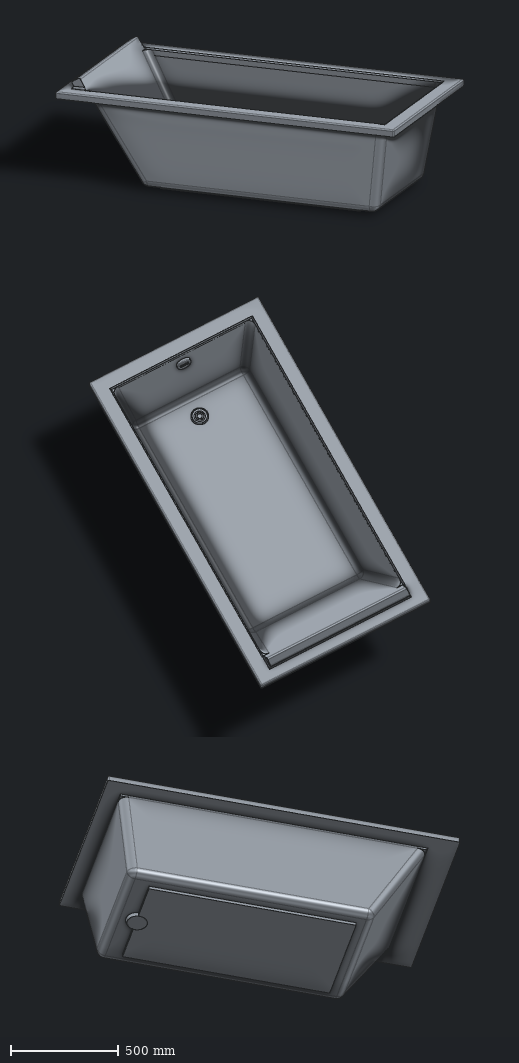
import cadquery as cq
import math


rim_length = 1700.0
rim_width = 900.0
rim_top = 480.0
rim_bottom = 445.0
rim_edge_radius = 7.0

wall = 7.0
floor_bottom = 17.0
floor_top = floor_bottom + wall
hull_top = 434.0
hull_half_width = 372.0
hull_back_x = -707.0
hull_front_x = 770.0
side_slope = math.tan(math.radians(8.4))
back_angle = math.radians(30)
back_slope = math.tan(back_angle)
hull_edge_radius = 40.0
opening_chamfer = 7.0

headrest_depth = 48.0
headrest_top = 535.0
headrest_edge_radius = 8.0
headrest_length = 738.0
foot_height = 12.0
foot_back_x = -795.0
foot_taper = 7.0

board_back_x = -401.0
board_front_x = 598.0
board_width = 486.0

drain_x = 592.0
flange_diameter = 83.0
flange_face_diameter = 71.0
flange_height = 5.0
flange_recess_diameter = 39.0
flange_recess_depth = 3.0
plug_diameter = 24.0
drain_neck_diameter = 53.0
drain_cup_diameter = 109.0
drain_cup_base_diameter = 95.0

overflow_z = 385.0
overflow_diameter = 71.0
overflow_thickness = 17.0
overflow_edge_radius = 5.0
overflow_slot_length = 45.0
overflow_slot_width = 12.0
overflow_slot_depth = 3.0


def back_x(level, inset):
    """X of the backrest plane at a level, shifted into the basin by the inset."""
    return hull_back_x + back_slope * (hull_top - level) + inset / math.cos(back_angle)


def front_x(level, inset):
    """X of the front wall plane at a level, shifted into the basin by the inset."""
    return hull_front_x - side_slope * (hull_top - level) - inset * math.hypot(1, side_slope)


def half_width(level, inset):
    """Half width between the side wall planes at a level, shifted inwards by the inset."""
    return hull_half_width - side_slope * (hull_top - level) - inset * math.hypot(1, side_slope)


def tapered_block(lower, upper):
    """Flat-sided block between two levels, each given as (z, back x, front x, half width)."""
    z_low, back_low, front_low, half_low = lower
    z_high, back_high, front_high, half_high = upper
    reach = max(half_low, half_high)
    side_profile = [(back_low, z_low), (front_low, z_low), (front_high, z_high), (back_high, z_high)]
    end_profile = [(-half_low, z_low), (half_low, z_low), (half_high, z_high), (-half_high, z_high)]
    along = cq.Workplane("XZ").polyline(side_profile).close().extrude(reach, both=True)
    across = cq.Workplane("YZ").polyline(end_profile).close().extrude(rim_length / 2, both=True)
    return along.intersect(across)


def basin(inset, bottom, top):
    """Basin-shaped block with rounded corners and a rounded floor edge."""
    lower, upper = (
        (level, back_x(level, inset), front_x(level, inset), half_width(level, inset))
        for level in (bottom, top)
    )
    return tapered_block(lower, upper).faces("not >Z").edges("not >Z").fillet(hull_edge_radius - inset)


def make_rim():
    rim = cq.Workplane().box(rim_length, rim_width, rim_top - rim_bottom, centered=(True, True, False))
    return rim.translate((0, 0, rim_bottom)).edges("|Z or >Z").fillet(rim_edge_radius)


def make_band():
    """Sharp-cornered collar between the hull and the rim; its back follows the backrest."""
    lower = (hull_top, back_x(hull_top, 0), hull_front_x, hull_half_width)
    upper = (rim_bottom, back_x(rim_bottom, 0), hull_front_x, hull_half_width)
    return tapered_block(lower, upper)


def make_opening():
    """Sharp-cornered flare from the basin walls out to the top of the rim."""
    ledge = rim_top - opening_chamfer
    front = front_x(ledge, wall)
    half = half_width(ledge, wall)
    lower = (ledge, back_x(ledge, wall), front, half)
    upper = (rim_top, back_x(rim_top, wall), front + opening_chamfer, half + opening_chamfer)
    return tapered_block(lower, upper)


def make_headrest():
    """Leaning ridge on a tapered foot as long as the opening is wide."""
    foot_top = rim_top + foot_height
    top_x = back_x(headrest_top, wall)
    heel_x = top_x - headrest_depth * math.cos(back_angle)
    heel_z = headrest_top - headrest_depth * math.sin(back_angle)
    profile = [
        (top_x, headrest_top),
        (heel_x, heel_z),
        (heel_x + back_slope * (heel_z - foot_top), foot_top),
        (back_x(foot_top, wall), foot_top),
    ]
    ridge = cq.Workplane("XZ").polyline(profile).close().extrude(headrest_length / 2, both=True)
    for corner in ((top_x, 0, headrest_top), (heel_x, 0, heel_z)):
        ridge = ridge.edges(cq.selectors.NearestToPointSelector(corner)).fillet(headrest_edge_radius)

    foot_half = headrest_length / 2 + foot_taper
    foot = tapered_block(
        (rim_top, foot_back_x, back_x(rim_top, wall), foot_half),
        (foot_top, foot_back_x + foot_taper, back_x(foot_top, wall), headrest_length / 2),
    )
    return ridge.union(foot)


def make_tub():
    hull = basin(0, floor_bottom, hull_top)
    tub = hull.union(make_band()).union(make_rim()).union(make_headrest())
    tub = tub.cut(basin(wall, floor_top, rim_top)).cut(make_opening())
    drain_hole = cq.Workplane(origin=(drain_x, 0, floor_bottom)).circle(drain_neck_diameter / 2).extrude(wall)
    return tub.cut(drain_hole)


def make_drain():
    """Flange on the floor and a tapered cup below it, joined by a neck through the floor."""
    base_radius = drain_cup_base_diameter / 2
    cup_radius = drain_cup_diameter / 2
    neck_radius = drain_neck_diameter / 2
    flange_radius = flange_diameter / 2
    face_radius = flange_face_diameter / 2
    recess_radius = flange_recess_diameter / 2
    plug_radius = plug_diameter / 2
    flange_top = floor_top + flange_height
    recess_floor = flange_top - flange_recess_depth
    profile = [
        (0, 0),
        (base_radius, 0),
        (cup_radius, floor_bottom),
        (neck_radius, floor_bottom),
        (neck_radius, floor_top),
        (flange_radius, floor_top),
        (face_radius, flange_top),
        (recess_radius, flange_top),
        (recess_radius, recess_floor),
        (plug_radius, recess_floor),
        (plug_radius, flange_top),
        (0, flange_top),
    ]
    drain = cq.Workplane("XZ").polyline(profile).close().revolve(360, (0, 0), (0, 1))
    return drain.translate((drain_x, 0, 0))


def make_board(drain):
    """Flat board under the floor, with its front edge notched around the drain cup."""
    board_length = board_front_x - board_back_x
    board = cq.Workplane().box(board_length, board_width, floor_bottom, centered=(False, True, False))
    return board.translate((board_back_x, 0, 0)).cut(drain)


def make_overflow():
    """Slotted round cover standing square on the sloping front wall."""
    centre = (front_x(overflow_z, wall), 0, overflow_z)
    wall_plane = cq.Plane(origin=centre, xDir=(0, 1, 0), normal=(-1, 0, side_slope))
    cover = cq.Workplane(wall_plane).circle(overflow_diameter / 2).extrude(overflow_thickness)
    cover = cover.faces(cq.selectors.DirectionMinMaxSelector(wall_plane.zDir)).edges().fillet(overflow_edge_radius)
    slot = (
        cq.Workplane(wall_plane)
        .workplane(offset=overflow_thickness)
        .slot2D(overflow_slot_length, overflow_slot_width)
        .extrude(-overflow_slot_depth)
    )
    return cover.cut(slot)


tub = make_tub()
drain = make_drain()
board = make_board(drain)
overflow = make_overflow()

result = cq.Compound.makeCompound([tub.val(), drain.val(), board.val(), overflow.val()])